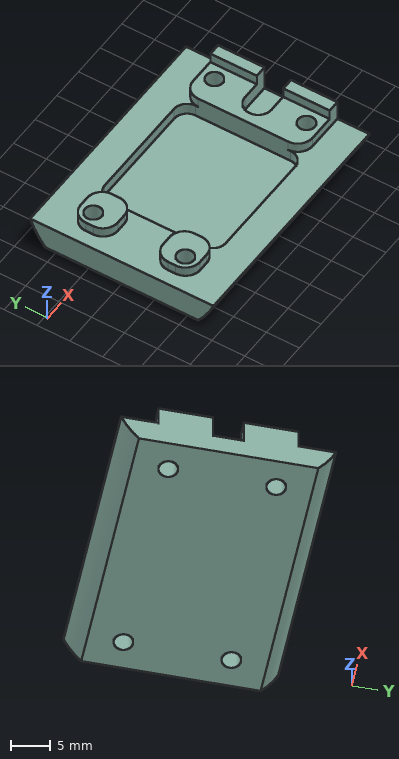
import cadquery as cq

LENGTH = 36.07
WIDTH = 27.9
BOTTOM_WIDTH = 23.25
PLATE_HEIGHT = 4.0
SIDE_BULGE = 0.2

POCKET_LENGTH = 20.0
POCKET_WIDTH = 18.4
POCKET_START = 8.08
POCKET_DEPTH = 1.8
POCKET_RADIUS = 2.0

TOTAL_HEIGHT = 7.07
PAD_HEIGHT = 1.5
PAD_LENGTH = 6.0
PAD_WIDTH = 5.63
PAD_SPAN = 18.15
PAD_RADIUS = 2.25
LIP_THICKNESS = 1.8
SLOT_WIDTH = 4.0
SLOT_LENGTH = 6.53
SLOT_DEPTH = 0.75

HOLE_DIAMETER = 2.5
HOLE_SPACING_X = 28.0
HOLE_SPACING_Y = 14.0
HOLE_CENTRE_X = 0.05

END_X = LENGTH / 2
POCKET_MIN_X = POCKET_START - END_X
POCKET_MAX_X = POCKET_MIN_X + POCKET_LENGTH
PAD_TOP = PLATE_HEIGHT + PAD_HEIGHT


def block(min_x, max_x, centre_y, width, bottom, top):
    """Box between two X positions and two heights."""
    return (
        cq.Workplane("XY", origin=((min_x + max_x) / 2, centre_y, bottom))
        .rect(max_x - min_x, width)
        .extrude(top - bottom)
    )


def make_plate():
    """Plate whose long sides curve inward toward the underside."""
    top_y = WIDTH / 2
    bottom_y = BOTTOM_WIDTH / 2
    middle_y = (top_y + bottom_y) / 2 + SIDE_BULGE
    middle_z = PLATE_HEIGHT / 2
    return (
        cq.Workplane("YZ", origin=(-END_X, 0, 0))
        .moveTo(-bottom_y, 0)
        .lineTo(bottom_y, 0)
        .threePointArc((middle_y, middle_z), (top_y, PLATE_HEIGHT))
        .lineTo(-top_y, PLATE_HEIGHT)
        .threePointArc((-middle_y, middle_z), (-bottom_y, 0))
        .close()
        .extrude(LENGTH)
    )


def make_small_pad(side):
    """Rounded pad beside the pocket; side is +1 or -1 along Y."""
    centre_y = side * (PAD_SPAN - PAD_WIDTH) / 2
    pad = block(POCKET_MIN_X - PAD_LENGTH, POCKET_MIN_X, centre_y, PAD_WIDTH, PLATE_HEIGHT, PAD_TOP)
    return pad.edges("|Z").fillet(PAD_RADIUS)


def make_wide_pad():
    """Pad at the +X end with an upright lip."""
    pad = block(POCKET_MAX_X, END_X, 0, PAD_SPAN, PLATE_HEIGHT, PAD_TOP)
    pad = pad.edges("|Z and <X").fillet(PAD_RADIUS)
    lip = block(END_X - LIP_THICKNESS, END_X, 0, PAD_SPAN, PLATE_HEIGHT, TOTAL_HEIGHT)
    return pad.union(lip)


def make_slot():
    """Cable slot; it runs out through the +X end, so only one round end remains."""
    floor = PLATE_HEIGHT - SLOT_DEPTH
    return (
        cq.Workplane("XY", origin=(END_X, 0, floor))
        .slot2D(2 * SLOT_LENGTH, SLOT_WIDTH)
        .extrude(TOTAL_HEIGHT - floor)
    )


def make_pocket():
    floor = PLATE_HEIGHT - POCKET_DEPTH
    pocket = block(POCKET_MIN_X, POCKET_MAX_X, 0, POCKET_WIDTH, floor, PLATE_HEIGHT)
    return pocket.edges("|Z").fillet(POCKET_RADIUS)


def make_holes():
    return (
        cq.Workplane("XY", origin=(HOLE_CENTRE_X, 0, 0))
        .rarray(HOLE_SPACING_X, HOLE_SPACING_Y, 2, 2)
        .circle(HOLE_DIAMETER / 2)
        .extrude(TOTAL_HEIGHT)
    )


result = make_plate().cut(make_pocket()).union(make_wide_pad())
for side in (-1, 1):
    result = result.union(make_small_pad(side))
result = result.cut(make_slot()).cut(make_holes())